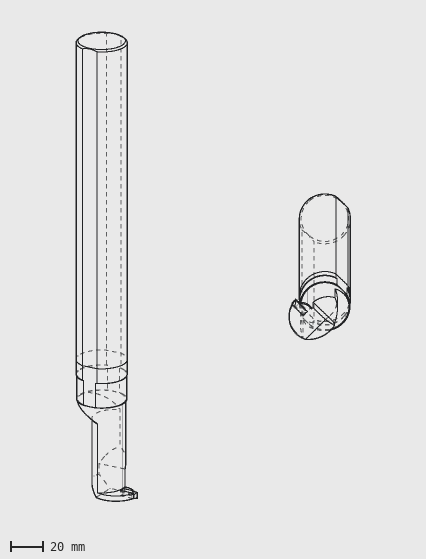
import cadquery as cq

SHANK_DIAMETER = 32.0
FLAT_SPACING = 30.0
TOP_Z = 301.0
JOINT_Z = 88.0
TOP_CHAMFER = 1.2

COLLAR_DIAMETER = 31.3
COLLAR_STEP_Z = 78.0
COLLAR_BOTTOM_Z = 61.5
NECK_DIAMETER = FLAT_SPACING
FOOT_AXIS_X = 10.2
FOOT_RADIUS = 15.0
FLARE_START_Z = 50.5
FOOT_TOP_Z = 4.5
FOOT_BOTTOM_Z = 1.0
TOE_CHAMFER = 8.5

RELIEF_Y = 4.2
RELIEF_TOP_Z = 16.0

SHOULDER_Y = 3.0
SHOULDER_ROUND_X = 17.2
SHOULDER_MID_X = 20.0
SHOULDER_MID_Y = 2.0
SHOULDER_END_X = 22.0
SHOULDER_END_Y = 0.5

INSERT_TIP_X = 25.5
INSERT_REAR_X = 15.5
INSERT_THICKNESS = 3.5
INSERT_SIDE_RELIEF = 1.0
INSERT_END_RELIEF = 0.3
INSERT_TIP_LENGTH = 3.0
INSERT_BREAK_X = 20.8
INSERT_TOP_DROP = 0.5


def flatted_bar(diameter, bottom_z, top_z):
    """Round bar along Z with two flats facing -Y and +Y."""
    height = top_z - bottom_z
    bar = cq.Workplane("XY").workplane(offset=bottom_z).circle(diameter / 2).extrude(height)
    flats = cq.Workplane("XY").workplane(offset=bottom_z).rect(2 * diameter, FLAT_SPACING).extrude(height)
    return bar.intersect(flats)


def make_shank():
    bar = (
        cq.Workplane("XY").workplane(offset=JOINT_Z)
        .circle(SHANK_DIAMETER / 2).extrude(TOP_Z - JOINT_Z)
        .faces(">Z").chamfer(TOP_CHAMFER)
    )
    return bar.intersect(flatted_bar(SHANK_DIAMETER, JOINT_Z, TOP_Z))


def make_neck():
    """Round neck, narrowed by a flared turning about the foot axis."""
    height = COLLAR_BOTTOM_Z - FOOT_BOTTOM_Z
    round_bar = cq.Workplane("XY").workplane(offset=FOOT_BOTTOM_Z).circle(NECK_DIAMETER / 2).extrude(height)
    turning = (
        cq.Workplane("XZ", origin=(FOOT_AXIS_X, 0, 0))
        .moveTo(0, FOOT_BOTTOM_Z)
        .lineTo(FOOT_RADIUS, FOOT_BOTTOM_Z)
        .lineTo(FOOT_RADIUS, FLARE_START_Z)
        .lineTo(FOOT_AXIS_X + NECK_DIAMETER / 2, COLLAR_BOTTOM_Z)
        .lineTo(0, COLLAR_BOTTOM_Z)
        .close()
        .revolve(360, (0, 0, 0), (0, 1, 0))
    )
    return round_bar.intersect(turning)


def make_foot():
    """Disc on the foot axis, cut back behind the insert to a rounded shoulder."""
    height = FOOT_TOP_Z - FOOT_BOTTOM_Z
    disc = (
        cq.Workplane("XY", origin=(FOOT_AXIS_X, 0, FOOT_BOTTOM_Z))
        .circle(FOOT_RADIUS).extrude(height)
    )
    beyond_x = FOOT_AXIS_X + 2 * FOOT_RADIUS
    clearance = (
        cq.Workplane("XY").workplane(offset=FOOT_BOTTOM_Z)
        .moveTo(FOOT_AXIS_X, SHOULDER_Y)
        .lineTo(SHOULDER_ROUND_X, SHOULDER_Y)
        .threePointArc((SHOULDER_MID_X, SHOULDER_MID_Y), (SHOULDER_END_X, SHOULDER_END_Y))
        .lineTo(SHOULDER_END_X, 0)
        .lineTo(beyond_x, 0)
        .lineTo(beyond_x, FOOT_RADIUS)
        .lineTo(FOOT_AXIS_X, FOOT_RADIUS)
        .close()
        .extrude(height)
    )
    return disc.cut(clearance)


def make_rear_relief():
    top = RELIEF_TOP_Z + NECK_DIAMETER - RELIEF_Y
    return (
        cq.Workplane("YZ")
        .moveTo(RELIEF_Y, 0).lineTo(RELIEF_Y, RELIEF_TOP_Z)
        .lineTo(NECK_DIAMETER, top).lineTo(NECK_DIAMETER, 0).close()
        .extrude(NECK_DIAMETER, both=True)
    )


def make_toe_bevel():
    toe_x = FOOT_AXIS_X - FOOT_RADIUS
    return (
        cq.Workplane("XZ")
        .moveTo(toe_x, FOOT_BOTTOM_Z)
        .lineTo(toe_x + TOE_CHAMFER, FOOT_BOTTOM_Z)
        .lineTo(toe_x, FOOT_BOTTOM_Z + TOE_CHAMFER).close()
        .extrude(NECK_DIAMETER, both=True)
    )


def make_insert_seat():
    """Slot across the foot, open at the outer end, top and bottom."""
    length = INSERT_TIP_X - INSERT_REAR_X
    return (
        cq.Workplane("XY", origin=(INSERT_REAR_X, -INSERT_THICKNESS, 0))
        .box(length, INSERT_THICKNESS, FOOT_TOP_Z, centered=False)
    )


def make_head():
    collar = flatted_bar(SHANK_DIAMETER, COLLAR_STEP_Z, JOINT_Z)
    lower_collar = flatted_bar(COLLAR_DIAMETER, COLLAR_BOTTOM_Z, COLLAR_STEP_Z)
    head = collar.union(lower_collar).union(make_neck()).union(make_foot())
    return head.cut(make_rear_relief()).cut(make_toe_bevel()).cut(make_insert_seat())


def make_insert():
    """Plate lying in the seat, relieved behind its rake face on the top, bottom and outer end."""
    plate = (
        cq.Workplane("XZ")
        .moveTo(INSERT_REAR_X, FOOT_BOTTOM_Z)
        .lineTo(INSERT_TIP_X - INSERT_TIP_LENGTH, FOOT_BOTTOM_Z)
        .lineTo(INSERT_TIP_X, 0)
        .lineTo(INSERT_TIP_X, FOOT_TOP_Z - INSERT_TOP_DROP)
        .lineTo(INSERT_BREAK_X, FOOT_TOP_Z)
        .lineTo(INSERT_REAR_X, FOOT_TOP_Z)
        .close()
        .extrude(INSERT_THICKNESS)
    )
    side_envelope = (
        cq.Workplane("YZ").workplane(offset=INSERT_REAR_X)
        .moveTo(0, 0)
        .lineTo(0, FOOT_TOP_Z)
        .lineTo(-INSERT_THICKNESS, FOOT_TOP_Z - INSERT_SIDE_RELIEF)
        .lineTo(-INSERT_THICKNESS, INSERT_SIDE_RELIEF)
        .close()
        .extrude(INSERT_TIP_X - INSERT_REAR_X)
    )
    end_envelope = (
        cq.Workplane("XY")
        .moveTo(INSERT_REAR_X, 0)
        .lineTo(INSERT_TIP_X, 0)
        .lineTo(INSERT_TIP_X - INSERT_END_RELIEF, -INSERT_THICKNESS)
        .lineTo(INSERT_REAR_X, -INSERT_THICKNESS)
        .close()
        .extrude(FOOT_TOP_Z)
    )
    return plate.intersect(side_envelope).intersect(end_envelope)


shank = make_shank()
head = make_head()
insert = make_insert()

result = cq.Compound.makeCompound([shank.val(), head.val(), insert.val()])